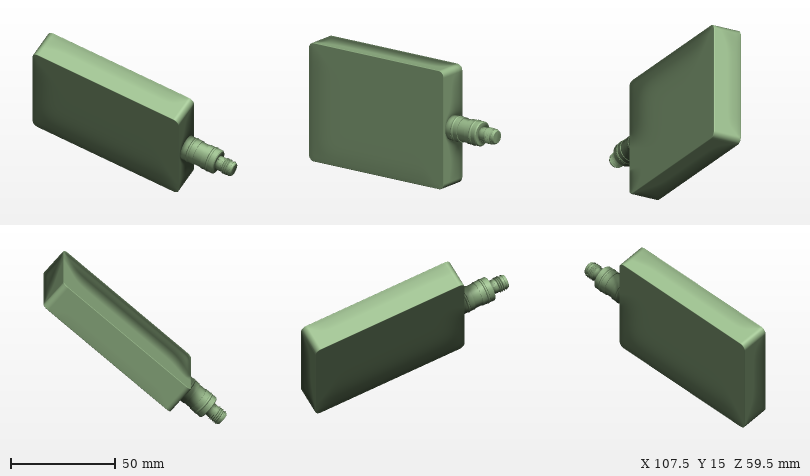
import cadquery as cq


housing_length = 81.0
housing_depth = 15.0
housing_height = 59.5
housing_corner_radius = 3.0
housing_rim_radius = 0.25

barrel_length = 17.8
barrel_radius = 6.1
barrel_end_chamfer = 0.45
waist_start = 6.75
waist_length = 4.25
waist_radius = 5.75

groove_width = 1.3
groove_floor_radius = 5.15
ring_positions = [3.5, 14.25]
ring_section_radius = 0.6
ring_center_radius = groove_floor_radius + ring_section_radius

connector_end = 26.5
neck_end = 20.5
neck_radius = 3.5
thread_root_radius = 3.4
collar_start = 25.0
collar_end = 25.3
collar_radius = 3.8
tip_base_radius = 3.65
tip_radius = 3.35
tip_chamfer = 0.3

thread_start = 21.0
thread_pitch = 1.0
thread_turns = 3.25
thread_crest_radius = 4.0
thread_root_width = 0.95
thread_overlap = 0.1

recess_diameter = 2.0
recess_floor_radius = 3.3
recess_position = 19.15
recess_count = 3
first_recess_angle = 15.0


def revolve_about_x(profile):
    """Turn a closed profile in the XZ plane about the X axis."""
    return profile.close().revolve(360, (0, 0, 0), (1, 0, 0))


def tube(start, length, inner_radius, outer_radius):
    """Make a tube on the X axis, running from start towards +X."""
    return (
        cq.Workplane("YZ", origin=(start, 0, 0))
        .circle(outer_radius)
        .circle(inner_radius)
        .extrude(length)
    )


def make_housing():
    return (
        cq.Workplane("XY")
        .box(housing_length, housing_depth, housing_height)
        .edges("|Y")
        .fillet(housing_corner_radius)
        .faces("<Y or >Y")
        .edges()
        .fillet(housing_rim_radius)
        .translate((-housing_length / 2, 0, 0))
    )


def make_barrel():
    barrel = revolve_about_x(
        cq.Workplane("XZ")
        .moveTo(0, 0)
        .lineTo(0, barrel_radius)
        .lineTo(waist_start, barrel_radius)
        .lineTo(waist_start, waist_radius)
        .lineTo(waist_start + waist_length, waist_radius)
        .lineTo(waist_start + waist_length, barrel_radius)
        .lineTo(barrel_length, barrel_radius)
        .lineTo(barrel_length, 0)
    )
    barrel = barrel.faces(">X").edges().chamfer(barrel_end_chamfer)
    for position in ring_positions:
        groove = tube(position - groove_width / 2, groove_width, groove_floor_radius, barrel_radius)
        barrel = barrel.cut(groove)
    return barrel


def make_o_ring(position):
    return (
        cq.Workplane("XZ")
        .center(position, ring_center_radius)
        .circle(ring_section_radius)
        .revolve(360, (0, -ring_center_radius, 0), (1, -ring_center_radius, 0))
    )


def make_thread_ridge():
    """Right-handed helical ridge, starting on the -Z side."""
    base_radius = thread_root_radius - thread_overlap
    helix = cq.Wire.makeHelix(thread_pitch, thread_pitch * thread_turns, base_radius)
    ridge = (
        cq.Workplane("XZ")
        .moveTo(base_radius, -thread_root_width / 2)
        .lineTo(thread_crest_radius, 0)
        .lineTo(base_radius, thread_root_width / 2)
        .close()
        .sweep(cq.Workplane(helix), isFrenet=True)
    )
    return ridge.rotate((0, 0, 0), (0, 1, 0), 90).translate((thread_start, 0, 0))


def make_connector():
    connector = revolve_about_x(
        cq.Workplane("XZ")
        .moveTo(barrel_length, 0)
        .lineTo(barrel_length, neck_radius)
        .lineTo(neck_end, neck_radius)
        .lineTo(neck_end, thread_root_radius)
        .lineTo(collar_start, thread_root_radius)
        .lineTo(collar_start, collar_radius)
        .lineTo(collar_end, collar_radius)
        .lineTo(collar_end, tip_base_radius)
        .lineTo(connector_end - tip_chamfer, tip_radius)
        .lineTo(connector_end, tip_radius - tip_chamfer)
        .lineTo(connector_end, 0)
    )
    recess = (
        cq.Workplane("XY", origin=(recess_position, 0, recess_floor_radius))
        .circle(recess_diameter / 2)
        .extrude(neck_radius)
    )
    for index in range(recess_count):
        angle = first_recess_angle + index * 360 / recess_count
        connector = connector.cut(recess.rotate((0, 0, 0), (1, 0, 0), angle))
    return connector.union(make_thread_ridge())


housing = make_housing()
barrel = make_barrel()
o_rings = [make_o_ring(position) for position in ring_positions]
connector = make_connector()

result = cq.Compound.makeCompound(
    [
        housing.val(),
        barrel.val(),
        *[o_ring.val() for o_ring in o_rings],
        connector.val(),
    ]
)